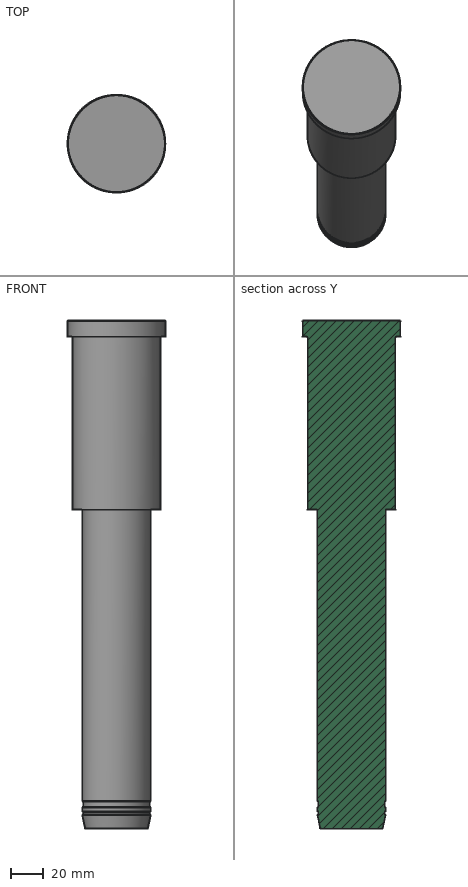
import cadquery as cq

length = 311.0
head_diameter = 60.0
head_height = 10.0
body_diameter = 54.0
shoulder_depth = 115.7
shank_diameter = 42.0
edge_chamfer = 0.47
corner_fillet = 0.5

tip_diameter = 38.5
tip_height = 8.5
tip_bulge_diameter = 40.5
tip_bulge_height = 4.7

groove_depth = 0.5
groove_wall_height = 0.5
lower_groove_bottom = tip_height
lower_groove_height = 2.5
upper_groove_bottom = 13.0
upper_groove_height = 4.0

shank_radius = shank_diameter / 2
body_radius = body_diameter / 2
head_radius = head_diameter / 2
tip_radius = tip_diameter / 2
shoulder_z = length - shoulder_depth
head_z = length - head_height


def revolve_about_axis(profile):
    return profile.close().revolve(360, (0, 0, 0), (0, 1, 0))


def pillar():
    profile = (
        cq.Workplane("XZ")
        .lineTo(tip_radius - edge_chamfer, 0)
        .lineTo(tip_radius, edge_chamfer)
        .threePointArc((tip_bulge_diameter / 2, tip_bulge_height), (shank_radius, tip_height))
        .lineTo(shank_radius, shoulder_z - corner_fillet)
        .radiusArc((shank_radius + corner_fillet, shoulder_z), corner_fillet)
        .lineTo(body_radius, shoulder_z)
        .lineTo(body_radius, head_z - corner_fillet)
        .radiusArc((body_radius + corner_fillet, head_z), corner_fillet)
        .lineTo(head_radius, head_z)
        .lineTo(head_radius, length - edge_chamfer)
        .lineTo(head_radius - edge_chamfer, length)
        .lineTo(0, length)
    )
    return revolve_about_axis(profile)


def ring_groove(bottom, height):
    floor_radius = shank_radius - groove_depth
    top = bottom + height
    profile = (
        cq.Workplane("XZ")
        .moveTo(shank_radius, bottom)
        .lineTo(floor_radius, bottom + groove_wall_height)
        .lineTo(floor_radius, top - groove_wall_height)
        .lineTo(shank_radius, top)
    )
    return revolve_about_axis(profile)


result = (
    pillar()
    .cut(ring_groove(lower_groove_bottom, lower_groove_height))
    .cut(ring_groove(upper_groove_bottom, upper_groove_height))
)